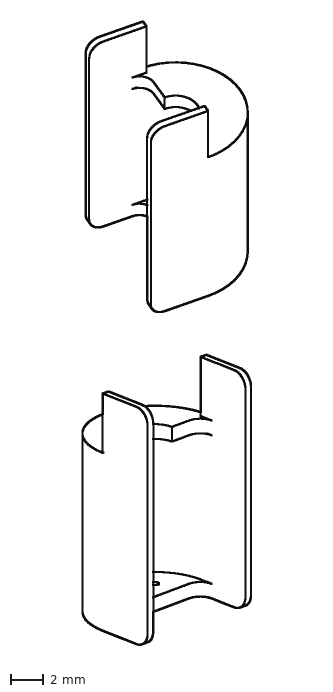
import cadquery as cq

total_height = 16.0
outer_width = 9.0
wall = 0.5
body_height = 12.0
end_thickness = 1.0
arm_length = 4.0
corner_radius = 1.0
notch_radius = 1.5
pin_hole_diameter = 0.5
pin_hole_offset = 1.5

outer_radius = outer_width / 2
inner_radius = outer_radius - wall
lid_bottom = body_height - end_thickness


def half_cylinder(radius, bottom, height):
    """Half disc on the +Y side of the axis, extruded upward."""
    return (
        cq.Workplane("XY", origin=(0, 0, bottom))
        .moveTo(-radius, 0)
        .threePointArc((0, radius), (radius, 0))
        .close()
        .extrude(height)
    )


def side_plate(side):
    """Upright plate with rounded front corners; side is -1 or 1."""
    return (
        cq.Workplane("XY")
        .box(wall, arm_length, total_height, centered=(True, False, False))
        .translate((side * (outer_radius - wall / 2), -arm_length, 0))
        .edges("|X and <Y")
        .fillet(corner_radius)
    )


def corner_web(side, bottom):
    """Concave fillet joining the front of the floor or lid to a side plate."""
    wall_x = side * inner_radius
    front_x = side * (inner_radius - corner_radius)
    diagonal = corner_radius * 0.5**0.5
    middle = (front_x + side * diagonal, diagonal - corner_radius)
    return (
        cq.Workplane("XY", origin=(0, 0, bottom))
        .moveTo(front_x, 0)
        .threePointArc(middle, (wall_x, -corner_radius))
        .lineTo(wall_x, 0)
        .close()
        .extrude(end_thickness)
    )


result = half_cylinder(outer_radius, 0, body_height)
result = result.cut(half_cylinder(inner_radius, end_thickness, lid_bottom - end_thickness))

for side in (-1, 1):
    result = result.union(side_plate(side))
    for bottom in (0, lid_bottom):
        result = result.union(corner_web(side, bottom))

result = result.cut(half_cylinder(notch_radius, lid_bottom, end_thickness))

pin_holes = (
    cq.Workplane("XY")
    .pushPoints([(side * pin_hole_offset, pin_hole_offset) for side in (-1, 1)])
    .circle(pin_hole_diameter / 2)
    .extrude(end_thickness)
)
result = result.cut(pin_holes)